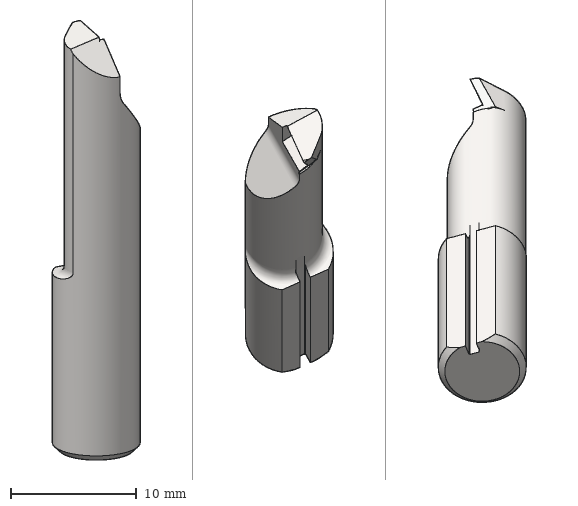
import cadquery as cq
import math

TOTAL_LENGTH = 35.0
SHANK_RADIUS = 3.5
SHANK_LENGTH = 14.75
FLAT_X = -2.85
END_CHAMFER = 0.52

NECK_RADIUS = 3.15
NECK_CENTER_X = 1.15
SHOULDER_RADIUS = 0.85

SLOT_HALF_WIDTH = 0.4
SLOT_MOUTH_HALF_WIDTH = 0.45
SLOT_FLOOR_X = -1.92
SLOT_STRAIGHT_LENGTH = 15.05
SLOT_RUNOUT_RADIUS = 35.0

RECESS_Y = 0.1
RECESS_CORNER_Z = 30.05
RECESS_ANGLE = 41.0
RECESS_FILLET = 1.4

TIP_X = -2.8
NOSE_WIDTH = 0.18
NOSE_DROP = 0.1
NOSE_TOP = (TIP_X + NOSE_WIDTH, RECESS_Y, TOTAL_LENGTH)
TIP = (TIP_X, RECESS_Y, TOTAL_LENGTH - NOSE_DROP)
TOP_NORMAL = (0.1, -0.13, 1.0)
EDGE_RELIEF_NORMAL = (-11.8, -2.3, -3.3)
WEDGE_BOTTOM_Z = 32.0
RELIEF_FLOOR_Z = 31.57
RELIEF_FLOOR_RISE = 0.42
RELIEF_FLOOR_DEPTH = 1.75
BACK_BEVEL_SUM = 35.45

RAKE_NORMAL = (0.07, 1.0, -0.27)
GROOVE_END_X = 1.0
GROOVE_DEEP_Y = -0.77
GROOVE_DEEP_Z = 32.35
GROOVE_BOTTOM_Z = 32.0

OVERSIZE = 2 * TOTAL_LENGTH


def half_space(point, normal):
    """Large block lying on the side of a plane that the normal points to."""
    plane = cq.Plane(origin=point, normal=normal)
    return cq.Workplane(plane).rect(OVERSIZE, OVERSIZE).extrude(OVERSIZE)


def yz_prism(points, start_x, end_x):
    """Prism along X with an outline given as (y, z) points."""
    plane = cq.Workplane("YZ", origin=(start_x, 0, 0))
    return plane.polyline(points).close().extrude(end_x - start_x)


def make_bar():
    """Flatted shank with the offset neck and its rounded shoulder."""
    bar = cq.Workplane("XY").circle(SHANK_RADIUS).extrude(TOTAL_LENGTH)
    bar = bar.faces("<Z").chamfer(END_CHAMFER)
    bar = bar.cut(half_space((FLAT_X, 0, 0), (-1, 0, 0)))

    shoulder_top = SHANK_LENGTH + SHOULDER_RADIUS
    shoulder_outer = NECK_RADIUS + SHOULDER_RADIUS
    arc_offset = SHOULDER_RADIUS * math.sqrt(0.5)
    around_neck = (
        cq.Workplane("XZ", origin=(NECK_CENTER_X, 0, 0))
        .moveTo(NECK_RADIUS, TOTAL_LENGTH)
        .lineTo(NECK_RADIUS, shoulder_top)
        .threePointArc((shoulder_outer - arc_offset, shoulder_top - arc_offset), (shoulder_outer, SHANK_LENGTH))
        .lineTo(2 * SHANK_RADIUS, SHANK_LENGTH)
        .lineTo(2 * SHANK_RADIUS, TOTAL_LENGTH)
        .close()
        .revolve(360, (0, 0, 0), (0, 1, 0))
    )
    return bar.cut(around_neck)


def make_coolant_slot():
    """Slot with a narrow runout floor and a wider mouth in the shank."""
    arc_center_x = SLOT_FLOOR_X - SLOT_RUNOUT_RADIUS

    def floor_height(x):
        return SLOT_STRAIGHT_LENGTH + math.sqrt(SLOT_RUNOUT_RADIUS**2 - (x - arc_center_x) ** 2)

    middle_x = (SLOT_FLOOR_X + FLAT_X) / 2
    slot = (
        cq.Workplane("XZ")
        .moveTo(FLAT_X, 0)
        .lineTo(SLOT_FLOOR_X, 0)
        .lineTo(SLOT_FLOOR_X, SLOT_STRAIGHT_LENGTH)
        .threePointArc((middle_x, floor_height(middle_x)), (FLAT_X, floor_height(FLAT_X)))
        .close()
        .extrude(SLOT_HALF_WIDTH, both=True)
    )

    mouth_depth = NECK_CENTER_X - NECK_RADIUS - FLAT_X
    mouth = cq.Workplane("XY").box(
        mouth_depth,
        2 * SLOT_MOUTH_HALF_WIDTH,
        SHANK_LENGTH + SHOULDER_RADIUS,
        centered=(False, True, False),
    )
    return slot.union(mouth.translate((FLAT_X, 0, 0)))


def make_wedge():
    """Cutting wedge that overhangs the neck, its 45 degree flank tangent to the neck."""
    tangent_offset = NECK_RADIUS * math.sqrt(0.5)
    tangent_x = NECK_CENTER_X - tangent_offset
    outline = [
        (TIP_X, RECESS_Y),
        (TIP_X, tangent_x - tangent_offset - TIP_X),
        (tangent_x, -tangent_offset),
        (NECK_CENTER_X, RECESS_Y),
    ]
    wedge = cq.Workplane("XY").workplane(offset=WEDGE_BOTTOM_Z).polyline(outline).close()
    return wedge.extrude(TOTAL_LENGTH - WEDGE_BOTTOM_Z)


def make_front_recess():
    """Space in front of the head, with a sloping floor and a rounded corner."""
    slope_height = 2 * SHANK_RADIUS / math.tan(math.radians(RECESS_ANGLE))
    outline = [
        (RECESS_Y, OVERSIZE),
        (RECESS_Y, RECESS_CORNER_Z),
        (RECESS_Y + 2 * SHANK_RADIUS, RECESS_CORNER_Z - slope_height),
        (RECESS_Y + 2 * SHANK_RADIUS, OVERSIZE),
    ]
    recess = yz_prism(outline, -2 * SHANK_RADIUS, 2 * SHANK_RADIUS)
    corner = cq.selectors.NearestToPointSelector((0, RECESS_Y, RECESS_CORNER_Z))
    return recess.edges(corner).fillet(RECESS_FILLET)


def make_edge_relief():
    """Space outside the side relief plane, above a slightly tilted floor."""
    slope = RELIEF_FLOOR_RISE / RELIEF_FLOOR_DEPTH
    outline = [
        (SHANK_RADIUS, RELIEF_FLOOR_Z - slope * SHANK_RADIUS),
        (SHANK_RADIUS, TOTAL_LENGTH),
        (-RELIEF_FLOOR_DEPTH, TOTAL_LENGTH),
        (-RELIEF_FLOOR_DEPTH, RELIEF_FLOOR_Z + RELIEF_FLOOR_RISE),
    ]
    region = yz_prism(outline, -SHANK_RADIUS, 0)
    return region.intersect(half_space(TIP, EDGE_RELIEF_NORMAL))


def make_chip_groove():
    """Undercut between the rake plane and a shallow groove bottom."""
    outline = [
        (RECESS_Y, GROOVE_BOTTOM_Z),
        (GROOVE_DEEP_Y, GROOVE_DEEP_Z),
        (GROOVE_DEEP_Y, OVERSIZE),
        (RECESS_Y, OVERSIZE),
    ]
    region = yz_prism(outline, -SHANK_RADIUS, GROOVE_END_X)
    return region.intersect(half_space(NOSE_TOP, RAKE_NORMAL))


result = (
    make_bar()
    .cut(make_coolant_slot())
    .union(make_wedge())
    .cut(make_front_recess())
    .cut(make_edge_relief())
    .cut(make_chip_groove())
    .cut(half_space(NOSE_TOP, TOP_NORMAL))
    .cut(half_space(NOSE_TOP, (-NOSE_DROP, 0, NOSE_WIDTH)))
    .cut(half_space((BACK_BEVEL_SUM - TOTAL_LENGTH, 0, TOTAL_LENGTH), (1, 0, 1)))
)